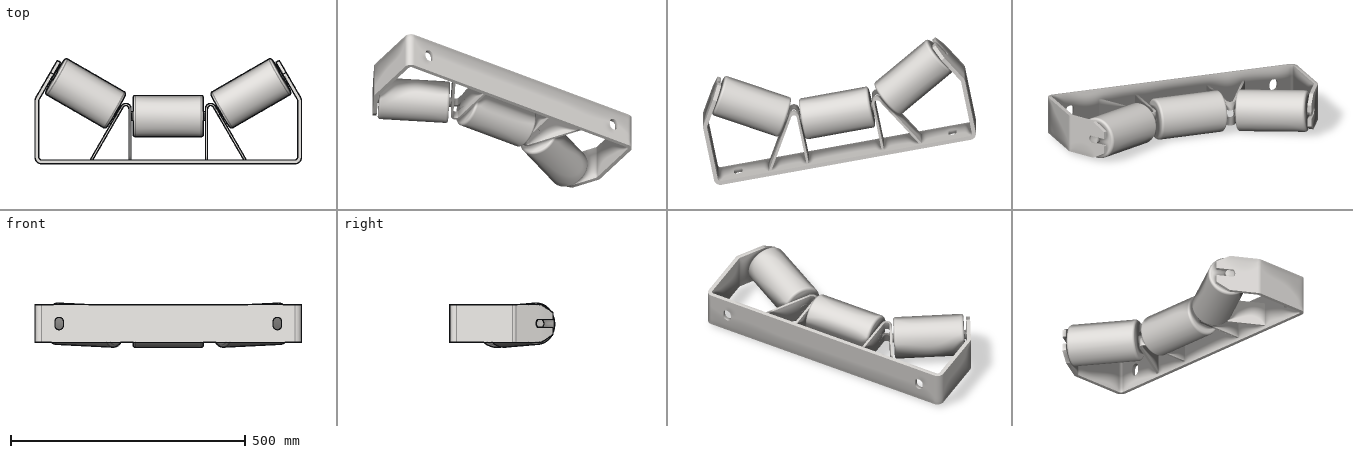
import cadquery as cq
import math

frame_length = 570
frame_height = 81.0
frame_thickness = 8.5
frame_bend_radius = 14.0
side_straight_end = 134.5
arm_length = 92.0
arm_corner_along = 29.5
arm_corner_high = 16.5
mount_slot_width = 18.0
mount_slot_height = 27.0
mount_slot_x = 233.0

trough_angle = 30
axis_drop = 7.0
middle_axis_y = 102.0
arm_axis_from_tip = 31.0

roller_diameter = 89.0
roller_length = 150.5
roller_edge_radius = 5.0
end_gap = 4.0
shaft_diameter = 20.0
shaft_flat_thickness = 16.0
shaft_round_length = 3.5
shaft_flat_length = 5.5

bracket_height = 52.0
bracket_thickness = 5.0
bracket_bend_radius = 11.5
bracket_bend_y = 118.0

slot_width = 16.5
seat_clearance = 0.5

lean = math.radians(trough_angle)
support_span = roller_length + 2 * end_gap
frame_inner_radius = frame_bend_radius - frame_thickness
bracket_inner_radius = bracket_bend_radius - bracket_thickness
side_bend_x = frame_length / 2 - frame_bend_radius
bracket_bend_x = support_span / 2 + bracket_bend_radius


def polar(centre, radius, degrees):
    """Point at a radius and angle around a centre."""
    angle = math.radians(degrees)
    return (centre[0] + radius * math.cos(angle), centre[1] + radius * math.sin(angle))


def shift(point, direction, distance):
    """Point moved a distance along a unit direction."""
    return (point[0] + direction[0] * distance, point[1] + direction[1] * distance)


up_arm = (-math.sin(lean), math.cos(lean))
outward = (math.cos(lean), math.sin(lean))

corner_centre = (side_bend_x, frame_bend_radius)
lean_centre = (side_bend_x, side_straight_end)
bracket_centre = (bracket_bend_x, bracket_bend_y)
arm_start = polar(lean_centre, frame_bend_radius, trough_angle)
arm_tip = shift(arm_start, up_arm, arm_length)
arm_axis_point = shift(arm_tip, up_arm, -arm_axis_from_tip)
outer_roller_middle = shift(arm_axis_point, outward, -(frame_thickness + support_span / 2))
bracket_axis_point = shift(outer_roller_middle, outward, -support_span / 2)


def shaft_slot(point, z, inward, up, depth):
    """Cutter for a slot that is open upwards and has a round seat for a shaft centred on the point."""
    seat_radius = shaft_diameter / 2 + seat_clearance
    half_width = slot_width / 2
    corner = -math.sqrt(seat_radius**2 - half_width**2)
    open_end = arm_length
    plane = cq.Plane(origin=(*point, z), xDir=(*up, 0), normal=(*inward, 0))
    return (
        cq.Workplane(plane)
        .moveTo(open_end, -half_width)
        .lineTo(corner, -half_width)
        .threePointArc((-seat_radius, 0), (corner, half_width))
        .lineTo(open_end, half_width)
        .close()
        .extrude(depth)
    )


def make_frame():
    inner_arm_tip = shift(arm_tip, outward, -frame_thickness)
    half_angle = trough_angle / 2
    half = (
        cq.Workplane("XY", origin=(0, 0, -frame_height / 2))
        .lineTo(side_bend_x, 0)
        .threePointArc(
            polar(corner_centre, frame_bend_radius, -45), polar(corner_centre, frame_bend_radius, 0)
        )
        .lineTo(frame_length / 2, side_straight_end)
        .threePointArc(polar(lean_centre, frame_bend_radius, half_angle), arm_start)
        .lineTo(*arm_tip)
        .lineTo(*inner_arm_tip)
        .lineTo(*polar(lean_centre, frame_inner_radius, trough_angle))
        .threePointArc(
            polar(lean_centre, frame_inner_radius, half_angle), polar(lean_centre, frame_inner_radius, 0)
        )
        .lineTo(*polar(corner_centre, frame_inner_radius, 0))
        .threePointArc(
            polar(corner_centre, frame_inner_radius, -45), polar(corner_centre, frame_inner_radius, -90)
        )
        .lineTo(0, frame_thickness)
        .close()
        .extrude(frame_height)
    )
    inward = (-outward[0], -outward[1])
    half = half.cut(arm_corners(inward))
    half = half.cut(shaft_slot(arm_axis_point, 0, inward, up_arm, frame_thickness))
    half = half.cut(mount_slot())
    return half.union(half.mirror("YZ"))


def arm_corners(inward):
    """Cutter for the two corners at the tip of an arm."""
    plane = cq.Plane(origin=(*arm_tip, 0), xDir=(*up_arm, 0), normal=(*inward, 0))
    top = frame_height / 2
    cutter = cq.Workplane(plane)
    for edge in (-1, 1):
        cutter = cutter.polyline(
            [(0, edge * top), (-arm_corner_along, edge * top), (0, edge * (top - arm_corner_high))]
        ).close()
    return cutter.extrude(frame_thickness)


def mount_slot():
    """Cutter for an upright mounting slot through the back plate."""
    return (
        cq.Workplane("XZ", origin=(mount_slot_x, 0, 0))
        .slot2D(mount_slot_height, mount_slot_width, 90)
        .extrude(-frame_thickness)
    )


def make_bracket():
    """Bracket on the +X half: an upright leg, a bend, and a leg that leans parallel to the arm."""
    foot_y = frame_thickness
    outer_start = polar(bracket_centre, bracket_bend_radius, trough_angle)
    inner_start = polar(bracket_centre, bracket_inner_radius, trough_angle)
    outer_foot = shift(outer_start, up_arm, (foot_y - outer_start[1]) / up_arm[1])
    inner_foot = shift(inner_start, up_arm, (foot_y - inner_start[1]) / up_arm[1])
    crown_angle = (trough_angle + 180) / 2
    leg_x = bracket_bend_x - bracket_bend_radius
    bracket = (
        cq.Workplane("XY", origin=(0, 0, -axis_drop - bracket_height / 2))
        .moveTo(leg_x, foot_y)
        .lineTo(leg_x, bracket_bend_y)
        .threePointArc(polar(bracket_centre, bracket_bend_radius, crown_angle), outer_start)
        .lineTo(*outer_foot)
        .lineTo(*inner_foot)
        .lineTo(*inner_start)
        .threePointArc(
            polar(bracket_centre, bracket_inner_radius, crown_angle),
            polar(bracket_centre, bracket_inner_radius, 180),
        )
        .lineTo(leg_x + bracket_thickness, foot_y)
        .close()
        .extrude(bracket_height)
    )
    slot_depth = 2 * bracket_bend_radius
    upright_slot = shaft_slot((leg_x, middle_axis_y), -axis_drop, (1, 0), (0, 1), slot_depth)
    leaning_start = shift(bracket_axis_point, outward, end_gap)
    inward = (-outward[0], -outward[1])
    leaning_slot = shaft_slot(leaning_start, -axis_drop, inward, up_arm, slot_depth)
    return bracket.cut(upright_slot).cut(leaning_slot)


def make_roller():
    """Roller along X, centred on the origin, with a flatted shaft end on each side."""
    roller = (
        cq.Workplane("YZ", origin=(-roller_length / 2, 0, 0))
        .circle(roller_diameter / 2)
        .extrude(roller_length)
        .edges()
        .fillet(roller_edge_radius)
    )
    round_half = roller_length / 2 + shaft_round_length
    shaft_half = round_half + shaft_flat_length
    round_shaft = cq.Workplane("YZ").circle(shaft_diameter / 2).extrude(round_half, both=True)
    flatted_shaft = (
        cq.Workplane("YZ")
        .circle(shaft_diameter / 2)
        .extrude(shaft_half, both=True)
        .intersect(cq.Workplane("XY").box(2 * shaft_half, shaft_diameter, shaft_flat_thickness))
    )
    return roller.union(round_shaft).union(flatted_shaft)


def make_outer_roller():
    """Outer roller on the +X half, its inner end lowered to the bracket."""
    climb = math.degrees(math.asin(axis_drop / support_span))
    return (
        make_roller()
        .rotate((0, 0, 0), (0, 1, 0), -climb)
        .rotate((0, 0, 0), (0, 0, 1), trough_angle)
        .translate((*outer_roller_middle, -axis_drop / 2))
    )


frame = make_frame()
bracket = make_bracket()
brackets = [bracket, bracket.mirror("YZ")]
middle_roller = make_roller().translate((0, middle_axis_y, -axis_drop))
outer_roller = make_outer_roller()
rollers = [middle_roller, outer_roller, outer_roller.mirror("YZ")]

result = cq.Compound.makeCompound([body.val() for body in [frame, *brackets, *rollers]])